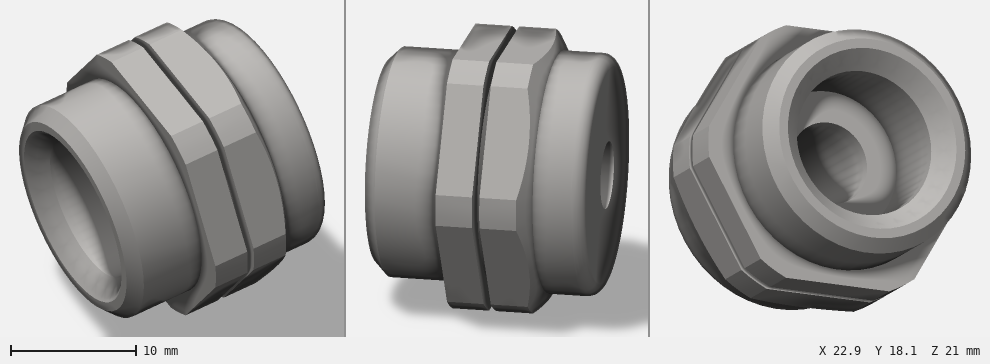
import cadquery as cq
import math


total_length = 18.1
across_flats = 21.0
corner_dia = 22.9
thread_dia = 18.5
cap_dia = 19.5
thread_length = 6.41
body_hex_length = 2.98
groove_width = 0.6
cap_hex_length = 4.0
edge_size = 1.0
hex_bevel_depth = 1.0

bore_dia = 11.9
bore_depth = 8.0
mouth_dia = 14.93
mouth_depth = 1.5
hole_entry_dia = 6.73
hole_exit_dia = 5.45

entry_face = -total_length / 2
cap_face = total_length / 2
body_hex_start = entry_face + thread_length
body_hex_end = body_hex_start + body_hex_length
cap_hex_start = body_hex_end + groove_width
cap_hex_end = cap_hex_start + cap_hex_length


def cylinder(diameter, start, end):
    """Solid cylinder on the Y axis between two stations."""
    plane = cq.Workplane("XZ", origin=(0, start, 0))
    return plane.circle(diameter / 2).extrude(start - end)


def cone(start_dia, end_dia, start, end):
    """Solid truncated cone on the Y axis between two stations."""
    profile = [(0, start), (start_dia / 2, start), (end_dia / 2, end), (0, end)]
    return cq.Workplane("XY").polyline(profile).close().revolve(360, (0, 0, 0), (0, 1, 0))


def hexagon(start, end):
    """Hexagonal collar with corners pointing along X, turned to the corner diameter."""
    across_corners = across_flats / math.cos(math.pi / 6)
    plane = cq.Workplane("XZ", origin=(0, start, 0))
    prism = plane.polygon(6, across_corners).extrude(start - end)
    return prism.intersect(cylinder(corner_dia, start, end))


def cap_hexagon():
    """Hexagonal collar whose corners are bevelled down to the cap diameter."""
    bevel_start = cap_hex_end - hex_bevel_depth
    envelope = cylinder(corner_dia, cap_hex_start, bevel_start)
    envelope = envelope.union(cone(corner_dia, cap_dia, bevel_start, cap_hex_end))
    return hexagon(cap_hex_start, cap_hex_end).intersect(envelope)


def bore():
    """Stepped passage: flared mouth, bore with a flat floor, hole tapering to the cap face."""
    bore_floor = entry_face + bore_depth
    mouth = cone(mouth_dia, bore_dia, entry_face, entry_face + mouth_depth)
    chamber = cylinder(bore_dia, entry_face, bore_floor)
    taper = cone(hole_entry_dia, hole_exit_dia, bore_floor, cap_face)
    return mouth.union(chamber).union(taper)


thread = cylinder(thread_dia, entry_face, cap_hex_start).faces("<Y").chamfer(edge_size)
cap = cylinder(cap_dia, cap_hex_start, cap_face).faces(">Y").edges().fillet(edge_size)

result = thread.union(cap)
result = result.union(hexagon(body_hex_start, body_hex_end)).union(cap_hexagon())
result = result.cut(bore())